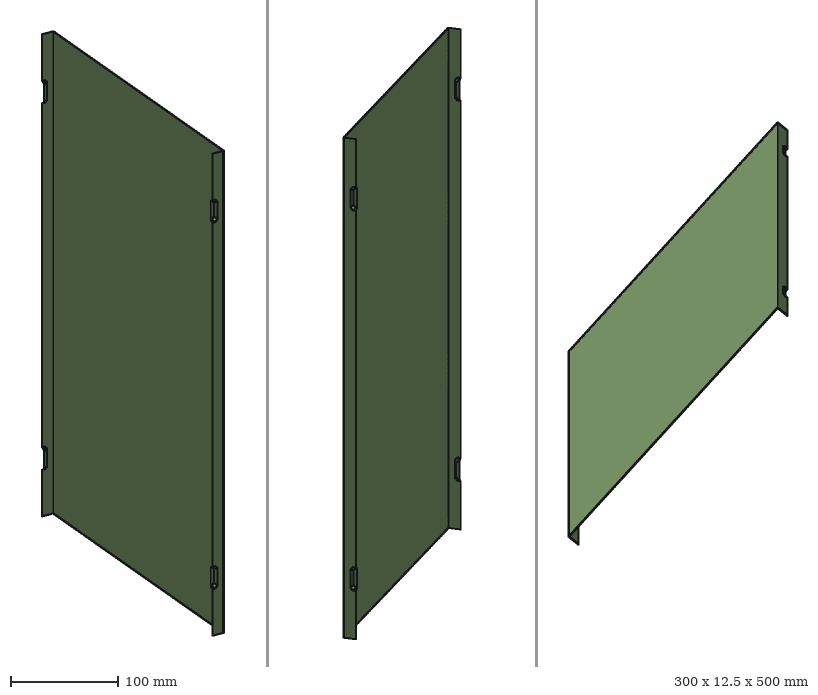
import cadquery as cq

width = 300.0
depth = 12.5
height = 500.0
sheet = 0.8

dimple_spacing = 380.0
dimple_press = 3.0
mouth_length = 23.5
mouth_depth = 5.5
corner = 2.5
wall_run = 2.0

front_y = -depth / 2
side_x = width / 2


def channel():
    """Thin U-shaped sheet, open toward -Y."""
    block = cq.Workplane("XY").box(width, depth, height)
    hollow = cq.Workplane("XY").box(width - 2 * sheet, depth, height)
    return block.cut(hollow.translate((0, -sheet, 0)))


def dimple_outline(inset):
    """Y-Z outline open at the flange edge, with cut corners at its inner end."""
    half = mouth_length / 2 - inset
    inner_y = front_y + mouth_depth - inset
    return [
        (front_y, -half),
        (inner_y - corner, -half),
        (inner_y, -half + corner),
        (inner_y, half - corner),
        (inner_y - corner, half),
        (front_y, half),
    ]


def dimple_form(start_x):
    """Tapered form on the left flange, pointing inward along +X."""
    return (
        cq.Workplane("YZ", origin=(start_x, 0, 0))
        .polyline(dimple_outline(0))
        .close()
        .workplane(offset=dimple_press)
        .polyline(dimple_outline(wall_run))
        .close()
        .loft(ruled=True, combine=True)
    )


result = channel()
raised = dimple_form(-side_x + sheet)
hollow = dimple_form(-side_x)
for z in (-dimple_spacing / 2, dimple_spacing / 2):
    left_raised = raised.translate((0, 0, z))
    left_hollow = hollow.translate((0, 0, z))
    result = result.union(left_raised).union(left_raised.mirror("YZ"))
    result = result.cut(left_hollow).cut(left_hollow.mirror("YZ"))